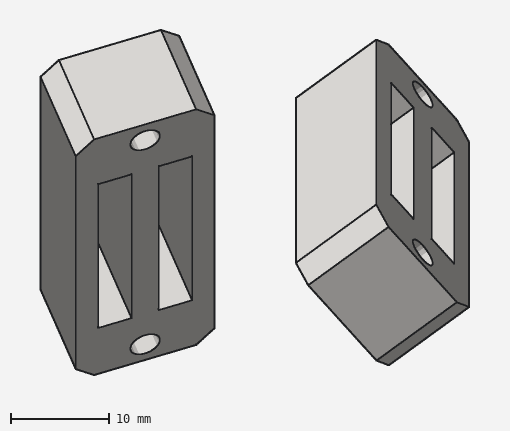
import cadquery as cq

thickness = 10.5
width = 15.0
height = 41.4
corner_chamfer = 2.0

slot_width = 3.6
slot_height = 25.25
slot_spacing = 6.55

hole_diameter = 3.2
hole_spacing = 35.85


def make_block():
    """Block with its four long edges along X chamfered, centred on the origin."""
    return cq.Workplane("XY").box(thickness, width, height).edges("|X").chamfer(corner_chamfer)


def cut_slots(body):
    """Cut the pair of rectangular slots through the thickness."""
    return (
        body.faces("<X").workplane(centerOption="CenterOfBoundBox")
        .rarray(slot_spacing, 0.4, 2, 1)
        .rect(slot_width, slot_height)
        .cutThruAll()
    )


def drill_holes(body):
    """Drill one hole above and one below the slots."""
    return (
        body.faces("<X").workplane(centerOption="CenterOfBoundBox")
        .rarray(0.4, hole_spacing, 1, 2)
        .hole(hole_diameter)
    )


result = drill_holes(cut_slots(make_block()))